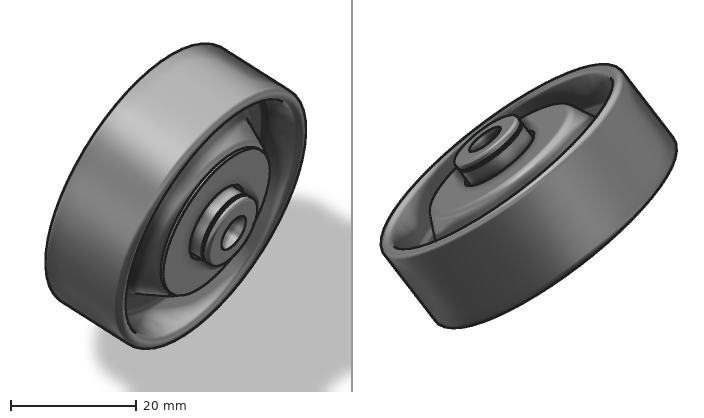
import cadquery as cq
import math

WHEEL_RADIUS = 24.0
RIM_HALF_WIDTH = 7.9
RIM_INNER_RADIUS = 21.25
RIM_WALL_DRAFT = 6.0
WEB_HALF_THICKNESS = 1.0
CONE_ROOT_RADIUS = 17.28
HUB_FACE_RADIUS = 14.0
HUB_HALF_WIDTH = 7.9
RIM_FILLET = 1.0
HUB_FILLET = 1.5

DISC_RADIUS = 13.5
DISC_FACE_X = 8.4

BUSH_RADIUS = 6.3
BUSH_HALF_LENGTH = 11.9
BUSH_FILLET = 0.5
BORE_RADIUS = 3.1

GROOVE_CENTER_X = 10.6
GROOVE_WIDTH = 0.45
GROOVE_DEPTH = 0.2

CLEARANCE_RADIUS = 6.85
CLEARANCE_DEPTH = 4.0


def corner_arc(previous, corner, following, fillet):
    """Start, middle and end of the arc of the given radius that rounds a corner."""
    x, radius = corner
    angle_back = math.atan2(previous[1] - radius, previous[0] - x)
    angle_on = math.atan2(following[1] - radius, following[0] - x)
    half_angle = math.acos(math.cos(angle_back - angle_on)) / 2
    tangent_length = fillet / math.tan(half_angle)
    middle_distance = fillet / math.sin(half_angle) - fillet
    bisector = math.atan2(
        math.sin(angle_back) + math.sin(angle_on),
        math.cos(angle_back) + math.cos(angle_on),
    )

    def from_corner(distance, angle):
        return (x + distance * math.cos(angle), radius + distance * math.sin(angle))

    return (
        from_corner(tangent_length, angle_back),
        from_corner(middle_distance, bisector),
        from_corner(tangent_length, angle_on),
    )


def revolve_about_x(profile):
    return profile.close().revolve(360, (0, 0, 0), (1, 0, 0))


def wheel_half():
    """The -X half of the wheel, solid down to the axis."""
    rim_depth = RIM_HALF_WIDTH - WEB_HALF_THICKNESS
    rim_mouth_radius = RIM_INNER_RADIUS + rim_depth * math.tan(math.radians(RIM_WALL_DRAFT))
    start = (0, WHEEL_RADIUS)
    end = (-HUB_HALF_WIDTH, 0)
    rounded_corners = [
        ((-RIM_HALF_WIDTH, WHEEL_RADIUS), RIM_FILLET),
        ((-RIM_HALF_WIDTH, rim_mouth_radius), RIM_FILLET),
        ((-WEB_HALF_THICKNESS, RIM_INNER_RADIUS), RIM_FILLET),
        ((-WEB_HALF_THICKNESS, CONE_ROOT_RADIUS), HUB_FILLET),
        ((-HUB_HALF_WIDTH, HUB_FACE_RADIUS), HUB_FILLET),
    ]
    points = [start] + [corner for corner, _ in rounded_corners] + [end]

    profile = cq.Workplane("XZ").moveTo(*start)
    for index, (corner, fillet) in enumerate(rounded_corners):
        arc_start, arc_middle, arc_end = corner_arc(points[index], corner, points[index + 2], fillet)
        profile = profile.lineTo(*arc_start).threePointArc(arc_middle, arc_end)
    return revolve_about_x(profile.lineTo(*end).lineTo(0, 0))


def cylinder_x(radius, x_from, x_to):
    return cq.Workplane("YZ").workplane(offset=x_from).circle(radius).extrude(x_to - x_from)


def bush_groove(side):
    """Cutter for the V-groove near one end of the bush; side is -1 or +1."""
    center = side * GROOVE_CENTER_X
    profile = (
        cq.Workplane("XZ")
        .moveTo(center - GROOVE_WIDTH / 2, BUSH_RADIUS)
        .lineTo(center, BUSH_RADIUS - GROOVE_DEPTH)
        .lineTo(center + GROOVE_WIDTH / 2, BUSH_RADIUS)
    )
    return revolve_about_x(profile)


def make_bush():
    bush = cylinder_x(BUSH_RADIUS, -BUSH_HALF_LENGTH, BUSH_HALF_LENGTH)
    bush = bush.edges("%CIRCLE").fillet(BUSH_FILLET)
    for side in (-1, 1):
        bush = bush.cut(bush_groove(side))
    return bush


def make_wheel():
    half = wheel_half()
    wheel = half.union(half.mirror("YZ"))
    wheel = wheel.union(cylinder_x(DISC_RADIUS, 0, DISC_FACE_X))
    for face_x, inward in ((-HUB_HALF_WIDTH, 1), (DISC_FACE_X, -1)):
        wheel = wheel.cut(cylinder_x(CLEARANCE_RADIUS, face_x, face_x + inward * CLEARANCE_DEPTH))
    return wheel


bore = cylinder_x(BORE_RADIUS, -BUSH_HALF_LENGTH, BUSH_HALF_LENGTH)
result = make_wheel().union(make_bush()).cut(bore)